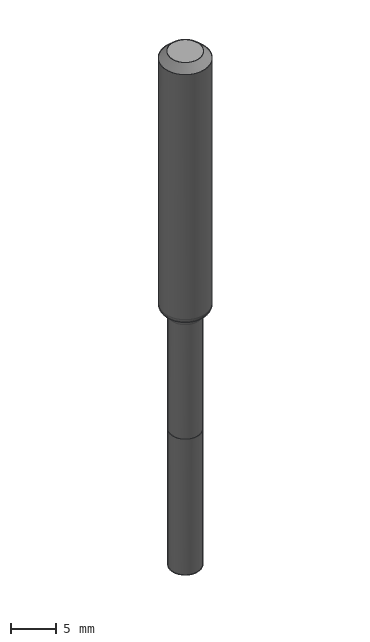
import cadquery as cq
import math

total_length = 74.0
shank_diameter = 6.0
neck_diameter = 3.9
shank_radius = shank_diameter / 2
neck_radius = neck_diameter / 2

joint_height = 20.1
neck_top_height = 36.5
shoulder_height = 38.0

shank_chamfer = 0.95
tip_point_angle = 140.0


def make_shank():
    """Chamfered shank that blends into a slimmer neck through an S-shaped shoulder."""
    blend_height = shoulder_height - neck_top_height
    blend_width = shank_radius - neck_radius
    sweep = 2 * math.atan2(blend_width, blend_height)
    blend_radius = blend_height / (2 * math.sin(sweep))
    arc_mid_rise = blend_radius * math.sin(sweep / 2)
    arc_mid_inset = blend_radius * (1 - math.cos(sweep / 2))
    blend_middle = ((shank_radius + neck_radius) / 2, (shoulder_height + neck_top_height) / 2)

    profile = (
        cq.Workplane("XZ")
        .moveTo(0, joint_height)
        .lineTo(neck_radius, joint_height)
        .lineTo(neck_radius, neck_top_height)
        .threePointArc((neck_radius + arc_mid_inset, neck_top_height + arc_mid_rise), blend_middle)
        .threePointArc(
            (shank_radius - arc_mid_inset, shoulder_height - arc_mid_rise),
            (shank_radius, shoulder_height),
        )
        .lineTo(shank_radius, total_length - shank_chamfer)
        .lineTo(shank_radius - shank_chamfer, total_length)
        .lineTo(0, total_length)
        .close()
    )
    return profile.revolve(360, (0, 0), (0, 1))


def make_tip():
    """Cylindrical tip with a shallow conical point."""
    point_height = neck_radius / math.tan(math.radians(tip_point_angle / 2))
    profile = (
        cq.Workplane("XZ")
        .lineTo(neck_radius, point_height)
        .lineTo(neck_radius, joint_height)
        .lineTo(0, joint_height)
        .close()
    )
    return profile.revolve(360, (0, 0), (0, 1))


shank = make_shank()
tip = make_tip()

result = cq.Compound.makeCompound([shank.val(), tip.val()])